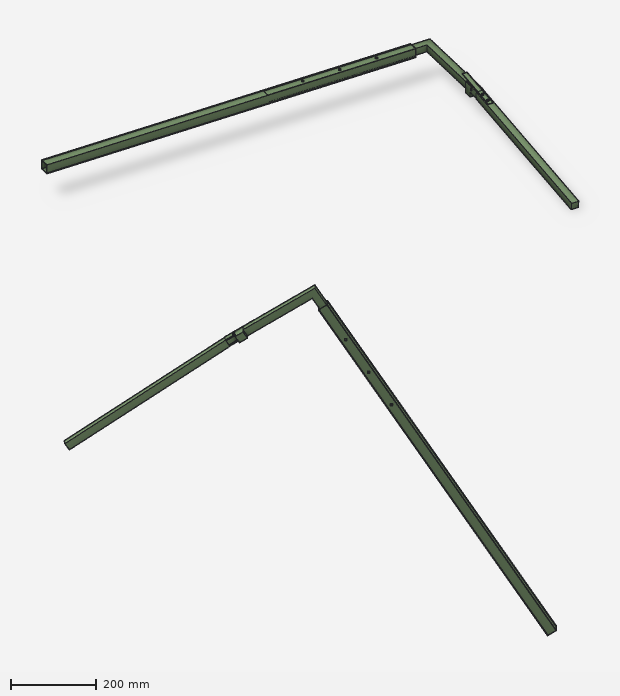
import cadquery as cq
import math


bar_half = 9.7
bar_size = 2 * bar_half
bar_middle_y = -bar_half

tube_size = 25.0
tube_wall = 1.6
tube_length = 1000.0
tube_rear_y = -50.0
tube_middle_x = tube_size / 2
tube_top_z = tube_wall

bar_left_x = (tube_size - bar_size) / 2
bar_end_x = 203.0
insert_depth = 400.0

pin_hole_diameter = 6.0
pin_hole_pitch = 100.0
pin_hole_count = 3

block_length = 50.0
foot_length = 22.0
foot_drop = 13.0
cheek_thickness = 3.0
slot_width = bar_size - 2 * cheek_thickness

pivot_x = 229.0
pivot_z = -8.0
pivot_hole_diameter = 6.0

droop_angle = 7.6
arm_reach = 475.0
tongue_size = slot_width
droop = math.radians(droop_angle)
block_end_x = bar_end_x + block_length
arm_start = (block_end_x - pivot_x) * math.cos(droop)
tongue_start = (bar_end_x - pivot_x + tongue_size / 2 * math.sin(droop)) / math.cos(droop)

strip_start = -48.0
strip_end = 76.0
strip_thickness = 1.6
strip_width = slot_width
strip_hole_diameter = 6.0
strip_hole_places = (38.0, 62.0)


def box(x_range, y_range, z_range):
    """A box between the given limits along X, Y and Z."""
    size = [high - low for low, high in (x_range, y_range, z_range)]
    corner = (x_range[0], y_range[0], z_range[0])
    return cq.Workplane("XY").box(*size, centered=False).translate(corner)


def bar(length_range, width, height_range):
    """A box along X, centred on Y = 0."""
    return box(length_range, (-width / 2, width / 2), height_range)


def to_droop(body):
    """Moves a body from the pivot's own axes to its drooping place."""
    tilted = body.rotate((0, 0, 0), (0, 1, 0), droop_angle)
    return tilted.translate((pivot_x, bar_middle_y, pivot_z))


def pin_holes():
    """Upright cylinders at the pin holes, as tall as the tube."""
    numbers = range(1, pin_hole_count + 1)
    places = [(tube_middle_x, tube_rear_y - pin_hole_pitch * number) for number in numbers]
    base = cq.Workplane("XY").workplane(offset=tube_top_z - tube_size)
    return base.pushPoints(places).circle(pin_hole_diameter / 2).extrude(tube_size)


def pivot_hole():
    """A cylinder along Y through the full width of the hinge."""
    base = cq.Workplane("XZ").center(pivot_x, pivot_z)
    return base.circle(pivot_hole_diameter / 2).extrude(bar_size)


def make_tube():
    section = cq.Workplane("XZ", origin=(tube_middle_x, tube_rear_y, tube_top_z - tube_size / 2))
    bore_size = tube_size - 2 * tube_wall
    tube = section.rect(tube_size, tube_size).rect(bore_size, bore_size).extrude(tube_length)
    return tube.cut(pin_holes())


def make_l_bar():
    """Two legs mitred at the corner, so the joint line stays on the faces."""
    inner_x = bar_left_x + bar_size
    leg_end_y = tube_rear_y - insert_depth
    outer_corner = (bar_left_x, 0)
    inner_corner = (inner_x, -bar_size)
    leg_outline = [outer_corner, inner_corner, (inner_x, leg_end_y), (bar_left_x, leg_end_y)]
    arm_outline = [outer_corner, (bar_end_x, 0), (bar_end_x, -bar_size), inner_corner]
    leg = cq.Workplane("XY").polyline(leg_outline).close().extrude(-bar_size)
    arm = cq.Workplane("XY").polyline(arm_outline).close().extrude(-bar_size)
    return leg.union(arm, clean=False).cut(pin_holes(), clean=False)


def block_end_at(z):
    """X of the block's end face, which is tilted to lie against the drooping arm's shoulder."""
    return block_end_x + (z - pivot_z) * math.tan(droop)


def make_hinge_block():
    """Two cheeks beside an open slot, joined by a foot below."""
    bar_bottom = -bar_size
    foot_bottom = bar_bottom - foot_drop
    foot_end_x = bar_end_x + foot_length
    outline = [
        (bar_end_x, 0),
        (block_end_at(0), 0),
        (block_end_at(bar_bottom), bar_bottom),
        (foot_end_x, bar_bottom),
        (foot_end_x, foot_bottom),
        (bar_end_x, foot_bottom),
    ]
    block = cq.Workplane("XZ").polyline(outline).close().extrude(bar_size)
    slot_sides = (bar_middle_y - slot_width / 2, bar_middle_y + slot_width / 2)
    slot = box((bar_end_x, block_end_at(0)), slot_sides, (bar_bottom, 0))
    return block.cut(slot).cut(pivot_hole())


def make_drooping_arm():
    """A full-size bar with a thinner tongue that fits the hinge slot."""
    tongue_half = tongue_size / 2
    arm = bar((arm_start, arm_reach), bar_size, (-bar_half, bar_half))
    tongue = bar((tongue_start, arm_start), tongue_size, (-tongue_half, tongue_half))
    return to_droop(arm.union(tongue)).cut(pivot_hole())


def make_strip():
    underside = bar_half
    strip = bar((strip_start, strip_end), strip_width, (underside, underside + strip_thickness))
    places = [(place, 0) for place in strip_hole_places]
    holes = cq.Workplane("XY").workplane(offset=underside).pushPoints(places)
    return to_droop(strip.cut(holes.circle(strip_hole_diameter / 2).extrude(strip_thickness)))


tube = make_tube()
l_bar = make_l_bar()
hinge_block = make_hinge_block()
drooping_arm = make_drooping_arm()
strip = make_strip()

result = cq.Compound.makeCompound(
    [tube.val(), l_bar.val(), hinge_block.val(), drooping_arm.val(), strip.val()]
)